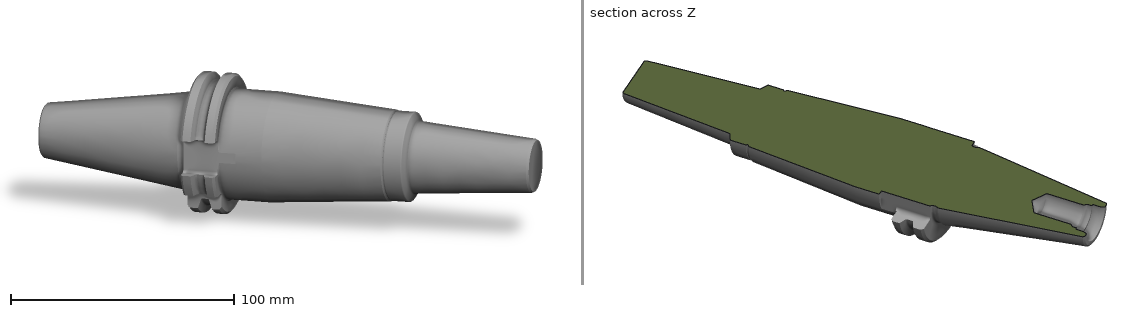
import cadquery as cq
import math

total_length = 228.2
taper_end = 67.5
neck_start = 69.2
flange_start = 71.2
flange_end = 87.2
cylinder_end = 107.5
collar_groove_start = 162.5
collar_start = 163.2
collar_end = 171.2
nose_start = 173.2

taper_large_radius = 44.5 / 2
taper_ratio = 7 / 24
neck_radius = 21.7
flange_radius = 31.7
body_radius = 50.0 / 2
collar_groove_radius = 19.9
collar_radius = 20.3
nose_end_radius = 12.0

flare_slope = math.tan(math.radians(4.5))
taper_small_radius = taper_large_radius - taper_end * taper_ratio / 2
body_end_radius = body_radius - (collar_groove_start - cylinder_end) * flare_slope
nose_start_radius = nose_end_radius + (total_length - nose_start) * flare_slope

shank_chamfer = 0.7
flange_chamfer = 1.1
nose_chamfer_length = 1.1
nose_chamfer_height = 0.5
flange_root_radius = 0.7
body_chamfer = 0.7
shoulder_fillet = 0.7

groove_center = 79.5
groove_mouth_width = 6.6
groove_floor_width = 3.5
groove_floor_radius = 28.0
groove_floor_fillet = 0.7

slot_width = 16.0
slot_end = 95.5
slot_floor_plus_y = 22.5
slot_floor_minus_y = 24.9
slot_fillet = 1.4

notch_offset = 18.3
notch_fillet = 1.1

hole_mouth_radius = 9.8
countersink_depth = 2.0
counterbore_radius = 9.0
counterbore_depth = 5.7
step_radius = 8.0
step_depth = 8.0
bore_radius = 6.8
bore_depth = 27.5
drill_tip_angle = 118.0


def revolve_about_x(profile):
    return profile.close().revolve(360, (0, 0, 0), (1, 0, 0))


def turned_body():
    root = flange_root_radius
    body = revolve_about_x(
        cq.Workplane("XY")
        .lineTo(0, taper_small_radius - shank_chamfer)
        .lineTo(shank_chamfer, taper_small_radius + shank_chamfer * taper_ratio / 2)
        .lineTo(taper_end, taper_large_radius)
        .lineTo(neck_start, neck_radius)
        .lineTo(flange_start - root, neck_radius)
        .radiusArc((flange_start, neck_radius + root), -root)
        .lineTo(flange_start, flange_radius - flange_chamfer)
        .lineTo(flange_start + flange_chamfer, flange_radius)
        .lineTo(flange_end - flange_chamfer, flange_radius)
        .lineTo(flange_end, flange_radius - flange_chamfer)
        .lineTo(flange_end, body_radius + root)
        .radiusArc((flange_end + root, body_radius), -root)
        .lineTo(cylinder_end, body_radius)
        .lineTo(collar_groove_start - body_chamfer, body_end_radius + body_chamfer * flare_slope)
        .lineTo(collar_groove_start, body_end_radius - body_chamfer)
        .lineTo(collar_groove_start, collar_groove_radius)
        .lineTo(collar_start, collar_groove_radius)
        .lineTo(collar_start, collar_radius)
        .lineTo(collar_end, collar_radius)
        .lineTo(nose_start, nose_start_radius)
        .lineTo(total_length - nose_chamfer_length, nose_end_radius + nose_chamfer_length * flare_slope)
        .lineTo(total_length, nose_end_radius - nose_chamfer_height)
        .lineTo(total_length, 0)
    )
    shoulder = cq.selectors.BoxSelector(
        (collar_end - shoulder_fillet, -collar_radius, -collar_radius),
        (nose_start + shoulder_fillet, collar_radius, collar_radius),
    )
    return body.edges("%CIRCLE").edges(shoulder).fillet(shoulder_fillet)


def flange_groove():
    mouth_half = groove_mouth_width / 2
    floor_half = groove_floor_width / 2
    rim_radius = flange_radius + flange_chamfer
    section = (
        cq.Workplane("XY")
        .moveTo(groove_center - mouth_half, rim_radius)
        .lineTo(groove_center - mouth_half, flange_radius)
        .lineTo(groove_center - floor_half, groove_floor_radius)
        .lineTo(groove_center + floor_half, groove_floor_radius)
        .lineTo(groove_center + mouth_half, flange_radius)
        .lineTo(groove_center + mouth_half, rim_radius)
    )
    ring = revolve_about_x(section)
    return ring.edges(cq.selectors.RadiusNthSelector(0)).fillet(groove_floor_fillet)


def side_block(start, end, floor_distance, side, width):
    depth = flange_radius
    length = end - start
    block = cq.Workplane("XY").box(length, depth, width)
    return block.translate((start + length / 2, side * (floor_distance + depth / 2), 0))


def drive_slot(floor_distance, side):
    slot = side_block(flange_start, slot_end, floor_distance, side, slot_width)
    slot = slot.faces("<Y" if side > 0 else ">Y").edges("|X").fillet(slot_fillet)
    flat = side_block(flange_end + flange_root_radius, slot_end, floor_distance, side, body_radius)
    return slot.union(flat)


def corner_notch():
    size = flange_radius
    length = flange_end - flange_start
    block = cq.Workplane("XY").box(length, size, size, centered=False)
    block = block.translate((flange_start, -notch_offset - size, -notch_offset - size))
    return block.edges("|X and >Y and >Z").fillet(notch_fillet)


def end_hole():
    bore_start = step_depth + step_radius - bore_radius
    tip_depth = bore_radius / math.tan(math.radians(drill_tip_angle / 2))
    return revolve_about_x(
        cq.Workplane("XY")
        .lineTo(0, hole_mouth_radius)
        .lineTo(countersink_depth, counterbore_radius)
        .lineTo(counterbore_depth, counterbore_radius)
        .lineTo(counterbore_depth, step_radius)
        .lineTo(step_depth, step_radius)
        .lineTo(bore_start, bore_radius)
        .lineTo(bore_depth, bore_radius)
        .lineTo(bore_depth + tip_depth, 0)
    )


result = (
    turned_body()
    .cut(flange_groove())
    .cut(drive_slot(slot_floor_plus_y, 1))
    .cut(drive_slot(slot_floor_minus_y, -1))
    .cut(corner_notch())
    .cut(end_hole())
)